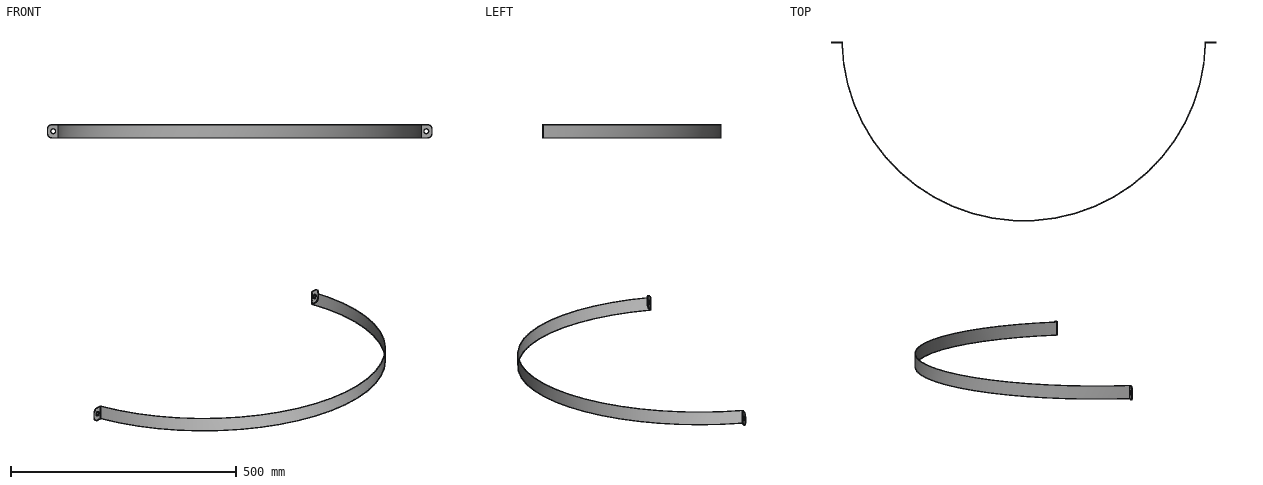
import cadquery as cq
import math

overall_length = 853.0
overall_depth = 397.5
strap_width = 30.0
band_thickness = 1.0
ear_thickness = 2.5
outer_radius = 403.5
corner_radius = 10.0
hole_diameter = 10.0
hole_end_distance = 13.0

ear_back = overall_depth - outer_radius
ear_front = ear_back - ear_thickness
inner_radius = outer_radius - band_thickness
half_length = overall_length / 2
inner_half_span = math.sqrt(inner_radius**2 - ear_back**2)
outer_half_span = math.sqrt(outer_radius**2 - ear_front**2)
hole_offset = half_length - hole_end_distance


def make_strap():
    """Bent strip: a nearly semicircular band with an ear turned out at each end."""
    return (
        cq.Workplane("XY", origin=(0, 0, -strap_width / 2))
        .moveTo(-half_length, ear_back)
        .lineTo(-inner_half_span, ear_back)
        .threePointArc((0, -inner_radius), (inner_half_span, ear_back))
        .lineTo(half_length, ear_back)
        .lineTo(half_length, ear_front)
        .lineTo(outer_half_span, ear_front)
        .threePointArc((0, -outer_radius), (-outer_half_span, ear_front))
        .lineTo(-half_length, ear_front)
        .close()
        .extrude(strap_width)
    )


def round_ear_ends(strap):
    """Round the free corners of both ears."""
    return strap.faces("<X or >X").edges("|Y").fillet(corner_radius)


def make_bolt_holes():
    """Cutting pins for the holes through the ears along Y."""
    return (
        cq.Workplane("XZ", origin=(0, ear_back, 0))
        .pushPoints([(-hole_offset, 0), (hole_offset, 0)])
        .circle(hole_diameter / 2)
        .extrude(ear_thickness)
    )


result = round_ear_ends(make_strap()).cut(make_bolt_holes())